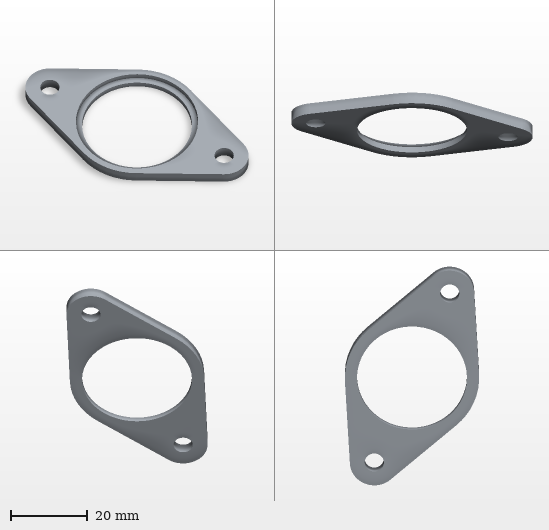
import cadquery as cq
import math

thickness = 3.0
body_radius = 17.4625
ear_radius = 6.35
ear_offset = 25.4

bolt_hole_diameter = 5.0
bore_diameter = 28.575
recess_diameter = 31.75
recess_depth = 1.5

edge_tilt = math.asin((body_radius - ear_radius) / ear_offset)


def tangent_point(radius, centre_x, side_x, side_y):
    """Point where a straight edge meets a round, in the chosen quadrant."""
    x = centre_x + radius * math.sin(edge_tilt)
    y = radius * math.cos(edge_tilt)
    return (side_x * x, side_y * y)


def make_plate():
    """Diamond flange: a central round joined to two ears by tangent edges."""
    return (
        cq.Workplane("XY")
        .moveTo(*tangent_point(body_radius, 0, -1, 1))
        .threePointArc((0, body_radius), tangent_point(body_radius, 0, 1, 1))
        .lineTo(*tangent_point(ear_radius, ear_offset, 1, 1))
        .threePointArc((ear_offset + ear_radius, 0), tangent_point(ear_radius, ear_offset, 1, -1))
        .lineTo(*tangent_point(body_radius, 0, 1, -1))
        .threePointArc((0, -body_radius), tangent_point(body_radius, 0, -1, -1))
        .lineTo(*tangent_point(ear_radius, ear_offset, -1, -1))
        .threePointArc((-ear_offset - ear_radius, 0), tangent_point(ear_radius, ear_offset, -1, 1))
        .close()
        .extrude(thickness)
    )


def cut_stepped_bore(plate):
    """Through bore with a shallow, wider recess in the top face."""
    return (
        plate.faces(">Z")
        .workplane(origin=(0, 0, thickness))
        .cboreHole(bore_diameter, recess_diameter, recess_depth)
    )


def cut_bolt_holes(plate):
    """One through hole at the centre of each ear."""
    return (
        plate.faces(">Z")
        .workplane(origin=(0, 0, thickness))
        .pushPoints([(-ear_offset, 0), (ear_offset, 0)])
        .hole(bolt_hole_diameter)
    )


result = cut_bolt_holes(cut_stepped_bore(make_plate()))